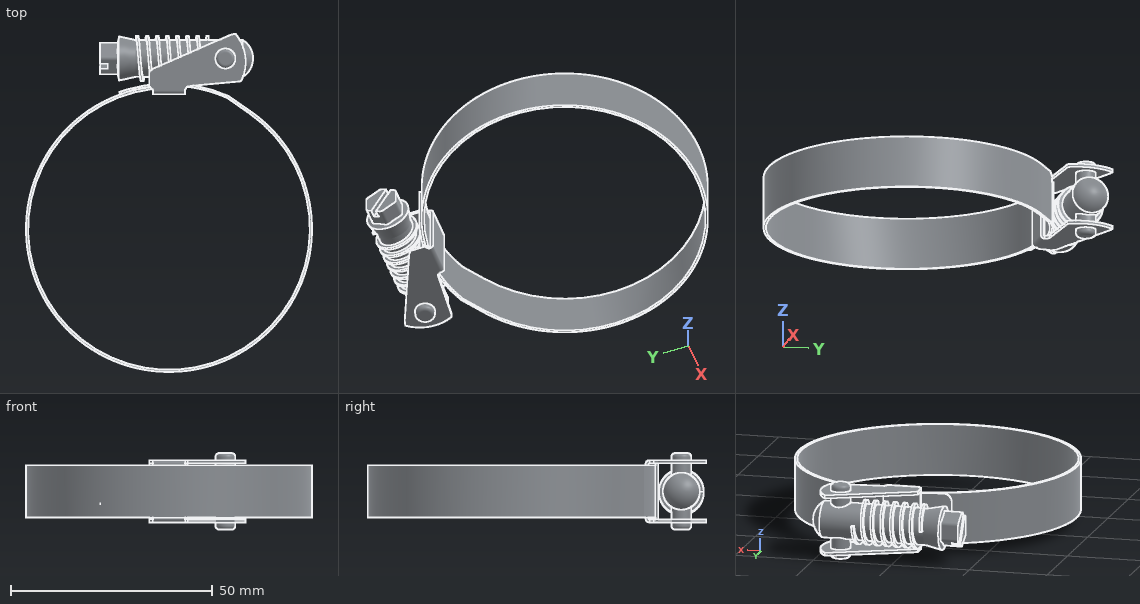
import cadquery as cq
import math

band_radius = 35.53
band_thickness = 0.6
band_width = 13.0
lap_gap = 0.02
start_angle = 90.0
ramp_angles = (55.5, 66.0)
tail_angle = 110.0
tail_corner_radius = 2.3

sheet = 0.8
bracket_half_width = 7.75
front_x = -4.95
back_x = 4.6
base_half_length = 4.0
base_y = 33.4
bend_radius = 1.0
shoulder_bottom_y = 34.5
shoulder_top_y = 35.4
front_top_y = 39.0
slope_start = (-4.1, 39.7)
slope_end = (15.3, 48.2)
top_corner_x = 16.5
plate_top_y = 48.48
plate_end_x = 19.0
low_corner_radius = 0.8
low_corner = (17.9, 36.6)
bridge_gap = 0.02
bridge_top_y = 36.6

screw_y = 42.3
screw_lean = 0.8
head_x = -17.1
head_across_flats = 7.9
head_corner_radius = 1.0
driver_slot_width = 1.4
driver_slot_depth = 1.9
driver_slot_angle = 30.0
collar_x = -12.4
collar_radius = 5.5
collar_face_radius = 3.5
collar_face_rise = 0.45
collar_end_x = -8.3
core_radius = 4.6
tip_x = 20.9
dome_length = 2.6
thread_radius = 5.6
thread_pitch = 2.5
thread_turns = 7
thread_start_x = -7.9
thread_width = 0.6
thread_sink = 0.2

pin_x = 14.0
pin_radius = 2.5
pin_seat_z = 3.0
pin_end_z = 19.05 / 2
pin_end_round = 1.0


def polar(radius, angle):
    """Point at a radius and an angle in degrees about the Z axis."""
    return radius * math.cos(math.radians(angle)), radius * math.sin(math.radians(angle))


def leaned(shape):
    """Tilt a shape built along the level screw axis, turning it where the two axes cross."""
    return shape.rotate((pin_x, screw_y, 0), (pin_x, screw_y + 1, 0), -screw_lean)


tail_inner = band_radius + lap_gap
tail_outer = tail_inner + band_thickness


def make_band():
    ring_inner = band_radius - band_thickness
    ramp_end, ramp_start = ramp_angles
    opposite = (start_angle + ramp_end) / 2 + 180
    tail_middle = (ramp_start + tail_angle) / 2
    band = (
        cq.Workplane("XY")
        .workplane(offset=-band_width / 2)
        .moveTo(*polar(band_radius, start_angle))
        .threePointArc(polar(band_radius, opposite), polar(band_radius, ramp_end))
        .lineTo(*polar(tail_outer, ramp_start))
        .threePointArc(polar(tail_outer, tail_middle), polar(tail_outer, tail_angle))
        .lineTo(*polar(tail_inner, tail_angle))
        .threePointArc(polar(tail_inner, tail_middle), polar(tail_inner, ramp_start))
        .lineTo(*polar(ring_inner, ramp_end))
        .threePointArc(polar(ring_inner, opposite), polar(ring_inner, start_angle))
        .close()
        .extrude(band_width)
    )
    tail_x, tail_y = polar((tail_inner + tail_outer) / 2, tail_angle)
    for side in (-1, 1):
        corner = cq.selectors.NearestToPointSelector((tail_x, tail_y, side * band_width / 2))
        band = band.edges(corner).fillet(tail_corner_radius)
    return band


def make_thread():
    """Helical rib about Z from the origin, then turned so that X, Y, Z become Y, Z, X."""
    helix = cq.Wire.makeHelix(thread_pitch, thread_turns * thread_pitch, core_radius)
    root = core_radius - thread_sink
    return (
        cq.Workplane("XZ")
        .moveTo(root, -thread_width / 2)
        .lineTo(thread_radius, -thread_width / 2)
        .lineTo(thread_radius, thread_width / 2)
        .lineTo(root, thread_width / 2)
        .close()
        .sweep(cq.Workplane(obj=helix), isFrenet=True)
        .rotate((0, 0, 0), (1, 1, 1), 120)
        .translate((thread_start_x, screw_y, 0))
    )


def make_head():
    head = (
        cq.Workplane("YZ", origin=(head_x, screw_y, 0))
        .polygon(6, head_across_flats, circumscribed=True)
        .extrude(collar_x - head_x)
        .edges("|X")
        .fillet(head_corner_radius)
    )
    driver_slot = (
        cq.Workplane("XY")
        .box(2 * driver_slot_depth, driver_slot_width, 2 * head_across_flats)
        .rotate((0, 0, 0), (1, 0, 0), driver_slot_angle)
        .translate((head_x, screw_y, 0))
    )
    return head.cut(driver_slot)


def make_pin(side):
    """A stub reaching from the recess in the screw to its rounded outer end."""
    return (
        cq.Workplane("XY", origin=(pin_x, screw_y, side * pin_seat_z))
        .circle(pin_radius)
        .extrude(side * (pin_end_z - pin_seat_z))
        .faces(">Z" if side > 0 else "<Z")
        .edges()
        .fillet(pin_end_round)
    )


def make_screw():
    dome_radius = (core_radius**2 + dome_length**2) / (2 * dome_length)
    body = (
        cq.Workplane("XY", origin=(0, screw_y, 0))
        .moveTo(collar_x - collar_face_rise, 0)
        .lineTo(collar_x - collar_face_rise, collar_face_radius)
        .lineTo(collar_x, collar_radius)
        .lineTo(collar_end_x, core_radius)
        .lineTo(tip_x - dome_length, core_radius)
        .radiusArc((tip_x, 0), dome_radius)
        .close()
        .revolve(360, (0, 0, 0), (1, 0, 0))
    )
    screw = leaned(body.union(make_head()).union(make_thread()))
    for side in (-1, 1):
        screw = screw.cut(make_pin(side))
    return screw


def make_side_plate(side):
    outer_z = side * bracket_half_width
    bend_top_y = base_y + bend_radius
    return (
        cq.Workplane("XY", origin=(0, 0, outer_z))
        .moveTo(-base_half_length, bend_top_y)
        .lineTo(-base_half_length, shoulder_bottom_y)
        .lineTo(front_x, shoulder_top_y)
        .lineTo(front_x, front_top_y)
        .lineTo(*slope_start)
        .lineTo(*slope_end)
        .lineTo(top_corner_x, plate_top_y)
        .threePointArc((plate_end_x, screw_y), low_corner)
        .lineTo(back_x, shoulder_top_y)
        .lineTo(base_half_length, shoulder_bottom_y)
        .lineTo(base_half_length, bend_top_y)
        .close()
        .extrude(-side * sheet)
        .edges(cq.selectors.NearestToPointSelector((*low_corner, outer_z - side * sheet / 2)))
        .fillet(low_corner_radius)
    )


def make_base():
    return (
        cq.Workplane("YZ", origin=(-base_half_length, 0, 0))
        .moveTo(base_y + bend_radius, bracket_half_width)
        .radiusArc((base_y, bracket_half_width - bend_radius), -bend_radius)
        .lineTo(base_y, bend_radius - bracket_half_width)
        .radiusArc((base_y + bend_radius, -bracket_half_width), -bend_radius)
        .lineTo(base_y + bend_radius, sheet - bracket_half_width)
        .radiusArc((base_y + sheet, bend_radius - bracket_half_width), bend_radius - sheet)
        .lineTo(base_y + sheet, bracket_half_width - bend_radius)
        .radiusArc((base_y + bend_radius, bracket_half_width - sheet), bend_radius - sheet)
        .close()
        .extrude(2 * base_half_length)
    )


def make_bridge():
    """Cross-piece between the plates, flat on top and hollowed to lie over the band."""
    bridge_width = 2 * (bracket_half_width - sheet)
    band_envelope = (
        cq.Workplane("XY", origin=(0, 0, -bridge_width / 2))
        .circle(tail_outer + bridge_gap)
        .extrude(bridge_width)
    )
    return (
        cq.Workplane("XY")
        .box(back_x - front_x, bridge_top_y, bridge_width, centered=(False, False, True))
        .translate((front_x, 0, 0))
        .cut(band_envelope)
    )


def make_bracket():
    bracket = make_base().union(make_bridge())
    for side in (-1, 1):
        bracket = bracket.union(make_side_plate(side)).cut(make_pin(side))
    return bracket


band = make_band()
bracket = make_bracket()
screw = make_screw()
pins = [make_pin(side) for side in (-1, 1)]

bodies = [band, bracket, screw, *pins]
result = cq.Compound.makeCompound([body.solids().val() for body in bodies])